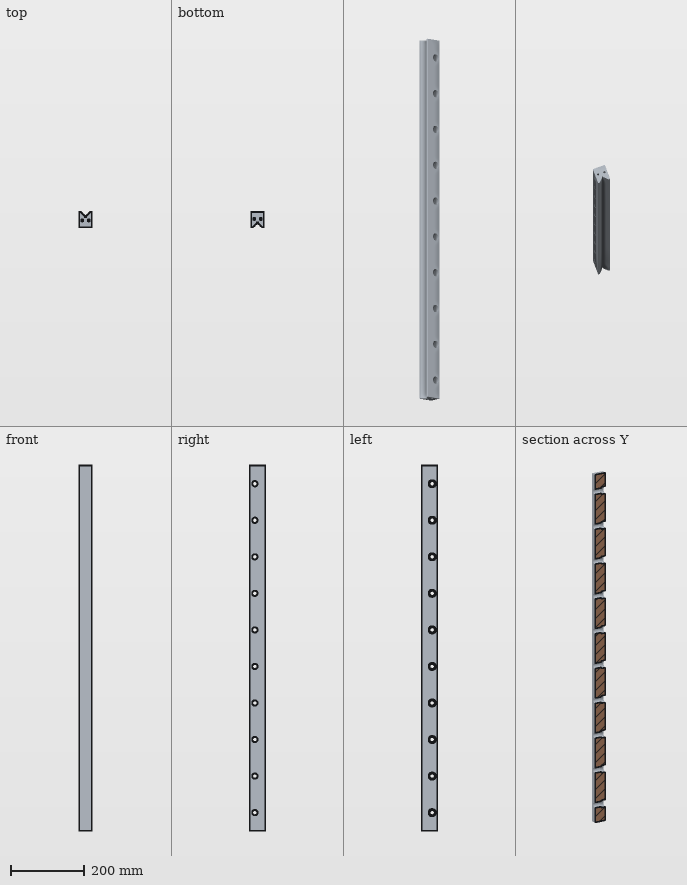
import cadquery as cq

width = 35.0
depth = 42.5
length = 1000.0
back_y = -depth / 2
front_y = depth / 2
edge_chamfer = 0.5

vee_half_width = 13.0
relief_width = 3.0
relief_depth = 14.0

hole_count = 10
hole_pitch = 100.0
hole_from_back = 14.0
hole_y = back_y + hole_from_back
hole_diameter = 14.0
counterbore_diameter = 20.0
counterbore_depth = 13.0

end_hole_diameter = 6.0
end_hole_depth = 15.0
end_hole_x = 9.0
end_hole_y = -2.0


def make_body():
    body = cq.Workplane("XY").box(width, depth, length)
    return body.edges().chamfer(edge_chamfer)


def make_vee_groove():
    relief_half = relief_width / 2
    flank_end_y = front_y - (vee_half_width - relief_half)
    relief_y = front_y - relief_depth
    outline = [
        (-vee_half_width, front_y),
        (-relief_half, flank_end_y),
        (-relief_half, relief_y),
        (relief_half, relief_y),
        (relief_half, flank_end_y),
        (vee_half_width, front_y),
    ]
    groove = cq.Workplane("XY").polyline(outline).close()
    return groove.extrude(length / 2, both=True)


def drill_cross_holes(body):
    first_z = -hole_pitch * (hole_count - 1) / 2
    points = [(-hole_y, first_z + i * hole_pitch) for i in range(hole_count)]
    face = cq.Workplane(cq.Plane((-width / 2, 0, 0), xDir=(0, -1, 0), normal=(-1, 0, 0)))
    holes = face.pushPoints(points).circle(hole_diameter / 2).extrude(-width)
    counterbores = face.pushPoints(points).circle(counterbore_diameter / 2).extrude(-counterbore_depth)
    return body.cut(holes).cut(counterbores)


def drill_end_holes(body):
    points = [(side * end_hole_x, end_hole_y) for side in (-1, 1)]
    for end in (-1, 1):
        face = cq.Workplane("XY").workplane(offset=end * length / 2)
        holes = face.pushPoints(points).circle(end_hole_diameter / 2).extrude(-end * end_hole_depth)
        body = body.cut(holes)
    return body


rail = make_body().cut(make_vee_groove())
rail = drill_cross_holes(rail)
result = drill_end_holes(rail)